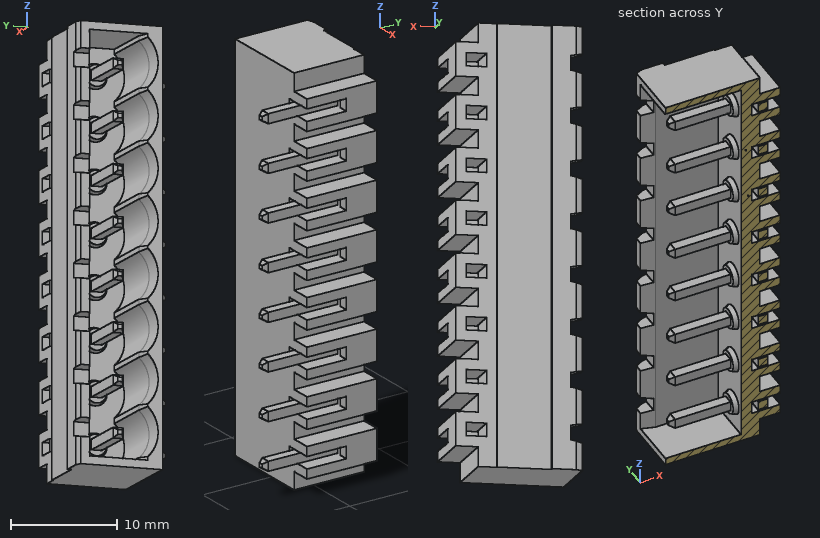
import cadquery as cq


POSITIONS = 8
PITCH = 5.07
LENGTH = 42.65
FIRST_Z = (LENGTH - (POSITIONS - 1) * PITCH) / 2
PIN_HEIGHTS = [FIRST_Z + i * PITCH for i in range(POSITIONS)]

BODY_X = 10.0
RIB_Y = 8.5
WALL_Y = 8.1
REAR_Y = 7.97
RIB_END_X = 3.0
WALL_END_X = 8.25
RIB_BEVEL_X = 0.7
RIB_BEVEL_Y = 0.277

CAVITY_DEPTH = 8.0
END_WALL = 0.8
MOUTH_Y = 7.35
INNER_Y = 6.9
LEAD_IN_DEPTH = 1.35
CUSP_Y = 1.5
SCALLOP_SAG = 1.02
MOUTH_LAND = 0.25
INNER_LAND = 0.5
SCALLOP_DRAFT = 0.43

NOTCH_DEPTH = 1.2
NOTCH_MOUTH = 1.85
NOTCH_FLOOR = 1.35
NOTCH_INNER_Y = 6.82

TEETH_X = 12.2
TOOTH_WIDTH = 3.33
SLOT_X = 9.2
SLOT_WIDTH = 1.3
WEB_X = 11.17
WEB_Y = 4.48

PIN = 1.02
PIN_Y = 3.9
PIN_LEG_X = 10.35
PIN_MATING_X = 1.1
PIN_BOARD_Y = -4.0
TIP = 0.43
TIP_LENGTH = 0.5

CONE_BASE = 2.47
CONE_TOP = 2.1
CONE_HEIGHT = 0.5


def make_box(x_range, y_range, z_range):
    (x0, x1), (y0, y1), (z0, z1) = x_range, y_range, z_range
    return cq.Workplane("XY").box(x1 - x0, y1 - y0, z1 - z0, centered=False).translate((x0, y0, z0))


def around(center, width):
    return (center - width / 2, center + width / 2)


def make_body():
    return (
        cq.Workplane("XY")
        .polyline([
            (0, 0),
            (BODY_X, 0),
            (BODY_X, REAR_Y),
            (WALL_END_X, REAR_Y),
            (WALL_END_X, WALL_Y),
            (RIB_END_X, WALL_Y),
            (RIB_END_X, RIB_Y),
            (RIB_BEVEL_X, RIB_Y),
            (0, RIB_Y - RIB_BEVEL_Y),
        ])
        .close()
        .extrude(LENGTH)
    )


def cavity_outline(plane, far_y, cusp_y, land):
    """Cavity outline: three straight walls and a scalloped wall with one arc per position."""
    outline = plane.moveTo(far_y, END_WALL).lineTo(cusp_y, END_WALL)
    half_chord = (PITCH - land) / 2
    for z in PIN_HEIGHTS:
        outline = outline.lineTo(cusp_y, z - half_chord)
        outline = outline.threePointArc((cusp_y - SCALLOP_SAG, z), (cusp_y, z + half_chord))
    return outline.lineTo(cusp_y, LENGTH - END_WALL).lineTo(far_y, LENGTH - END_WALL).close()


def make_cavity():
    inner_cusp_y = CUSP_Y + SCALLOP_DRAFT
    mouth = cavity_outline(cq.Workplane("YZ"), MOUTH_Y, CUSP_Y, MOUTH_LAND)
    inner_plane = mouth.workplane(offset=LEAD_IN_DEPTH)
    lead_in = cavity_outline(inner_plane, INNER_Y, inner_cusp_y, INNER_LAND).loft(ruled=True)
    deep = cavity_outline(cq.Workplane("YZ"), INNER_Y, inner_cusp_y, INNER_LAND).extrude(CAVITY_DEPTH)
    return lead_in.union(deep)


def make_notch(z):
    """Notch through the far wall, narrowing from the mouth to its floor."""
    return (
        cq.Workplane("XZ", origin=(0, NOTCH_INNER_Y, z))
        .polyline([
            (0, -NOTCH_MOUTH / 2),
            (NOTCH_DEPTH, -NOTCH_FLOOR / 2),
            (NOTCH_DEPTH, NOTCH_FLOOR / 2),
            (0, NOTCH_MOUTH / 2),
        ])
        .close()
        .extrude(NOTCH_INNER_Y - RIB_Y)
    )


def make_tooth(z):
    return make_box((BODY_X, TEETH_X), (0, REAR_Y), around(z, TOOTH_WIDTH))


def make_slot(z):
    """Pin slot: open at the tooth end near the board, closed by a web further up."""
    through = make_box((SLOT_X, WEB_X), (0, REAR_Y), around(z, SLOT_WIDTH))
    open_end = make_box((WEB_X, TEETH_X), (0, WEB_Y), around(z, SLOT_WIDTH))
    return through.union(open_end)


def make_cone(z):
    return (
        cq.Workplane("YZ", origin=(CAVITY_DEPTH, PIN_Y, z))
        .circle(CONE_BASE / 2)
        .workplane(offset=-CONE_HEIGHT)
        .circle(CONE_TOP / 2)
        .loft()
    )


def make_tip(plane):
    """Tapered square pin end, growing along the plane normal."""
    return plane.rect(PIN, PIN).workplane(offset=TIP_LENGTH).rect(TIP, TIP).loft()


def make_pin(z):
    """Right-angle pin: a mating arm along X and a leg along Y, both with tapered ends."""
    arm_x = PIN_MATING_X + TIP_LENGTH
    leg_y = PIN_BOARD_Y + TIP_LENGTH
    arm = make_box((arm_x, PIN_LEG_X + PIN / 2), around(PIN_Y, PIN), around(z, PIN))
    leg = make_box(around(PIN_LEG_X, PIN), (leg_y, PIN_Y), around(z, PIN))
    arm_tip = make_tip(cq.Workplane(cq.Plane((arm_x, PIN_Y, z), (0, 1, 0), (-1, 0, 0))))
    leg_tip = make_tip(cq.Workplane(cq.Plane((PIN_LEG_X, leg_y, z), (1, 0, 0), (0, -1, 0))))
    return arm.union(leg).union(arm_tip).union(leg_tip)


result = make_body().cut(make_cavity())
for pin_z in PIN_HEIGHTS:
    result = result.union(make_tooth(pin_z))
    result = result.cut(make_notch(pin_z)).cut(make_slot(pin_z))
    result = result.union(make_cone(pin_z)).union(make_pin(pin_z))